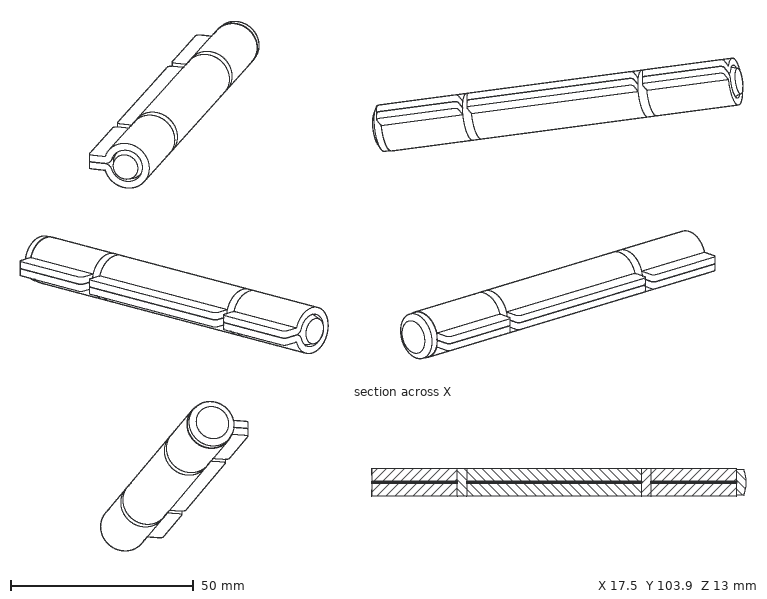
import cadquery as cq
import math


barrel_diameter = 13.0
bore_diameter = 9.0
sheet_thickness = (barrel_diameter - bore_diameter) / 2
tab_gap = 0.1
overall_width = 17.5
tab_reach = overall_width - barrel_diameter / 2
tab_corner_radius = 1.0
lip_radius = 2.0
end_leaf_length = 23.5
middle_leaf_length = 47.9

washer_diameter = 13.0
washer_thickness = 2.5

shank_diameter = 8.7
tip_diameter = 7.1
tip_taper_length = 2.9
tip_protrusion = 1.0
head_diameter = 12.7
head_thickness = 3.0
head_chamfer_width = 1.8
head_chamfer_length = 1.0

leaf_lengths = [end_leaf_length, middle_leaf_length, end_leaf_length]
stack_length = sum(leaf_lengths) + (len(leaf_lengths) - 1) * washer_thickness
pin_length = tip_protrusion + stack_length + head_thickness
tip_y = -pin_length / 2
stack_start_y = tip_y + tip_protrusion


def cylinder_along_y(diameter, start_y, length):
    """Solid cylinder on the pin axis, running from start_y toward +Y."""
    return (
        cq.Workplane("XZ", origin=(0, start_y, 0))
        .circle(diameter / 2)
        .extrude(-length)
    )


def make_slit(start_y, length):
    """Cutter for the slit between the plates, with rounded lips at the bore."""
    half_gap = tab_gap / 2
    lip_center_z = half_gap + lip_radius
    lip_center_x = -math.sqrt((bore_diameter / 2 + lip_radius) ** 2 - lip_center_z ** 2)
    bore_share = bore_diameter / 2 / (bore_diameter / 2 + lip_radius)
    mouth_x = lip_center_x * bore_share
    mouth_z = lip_center_z * bore_share
    mid_angle = (-math.pi / 2 + math.atan2(-lip_center_z, -lip_center_x)) / 2
    mid_x = lip_center_x + lip_radius * math.cos(mid_angle)
    mid_z = lip_center_z + lip_radius * math.sin(mid_angle)
    return (
        cq.Workplane("XZ", origin=(0, start_y, 0))
        .moveTo(-tab_reach, -half_gap)
        .lineTo(lip_center_x, -half_gap)
        .threePointArc((mid_x, -mid_z), (mouth_x, -mouth_z))
        .lineTo(0, -mouth_z)
        .lineTo(0, mouth_z)
        .lineTo(mouth_x, mouth_z)
        .threePointArc((mid_x, mid_z), (lip_center_x, half_gap))
        .lineTo(-tab_reach, half_gap)
        .close()
        .extrude(-length)
    )


def make_leaf(start_y, length):
    """Barrel with two parallel tab plates, like one sheet rolled round the pin."""
    tab_height = 2 * sheet_thickness + tab_gap
    tabs = (
        cq.Workplane("XY", origin=(0, start_y, 0))
        .box(tab_reach, length, tab_height, centered=(False, False, True))
        .translate((-tab_reach, 0, 0))
        .edges("|Z and <X")
        .fillet(tab_corner_radius)
    )
    return (
        cylinder_along_y(barrel_diameter, start_y, length)
        .union(tabs)
        .cut(cylinder_along_y(bore_diameter, start_y, length))
        .cut(make_slit(start_y, length))
    )


def make_washer(start_y):
    """Flat ring filling the space between two leaves."""
    ring = cylinder_along_y(washer_diameter, start_y, washer_thickness)
    return ring.cut(cylinder_along_y(bore_diameter, start_y, washer_thickness))


def make_pin():
    """Turned pin: tapered tip, plain shank and a chamfered head."""
    head_start_y = stack_start_y + stack_length
    head_end_y = head_start_y + head_thickness
    return (
        cq.Workplane("XY")
        .moveTo(0, tip_y)
        .lineTo(tip_diameter / 2, tip_y)
        .lineTo(shank_diameter / 2, tip_y + tip_taper_length)
        .lineTo(shank_diameter / 2, head_start_y)
        .lineTo(head_diameter / 2, head_start_y)
        .lineTo(head_diameter / 2, head_end_y - head_chamfer_length)
        .lineTo(head_diameter / 2 - head_chamfer_width, head_end_y)
        .lineTo(0, head_end_y)
        .close()
        .revolve(360, (0, 0, 0), (0, 1, 0))
    )


leaves = []
washers = []
next_y = stack_start_y
for leaf_length in leaf_lengths:
    if leaves:
        washers.append(make_washer(next_y))
        next_y += washer_thickness
    leaves.append(make_leaf(next_y, leaf_length))
    next_y += leaf_length

pin = make_pin()

result = cq.Compound.makeCompound([body.val() for body in [*leaves, *washers, pin]])